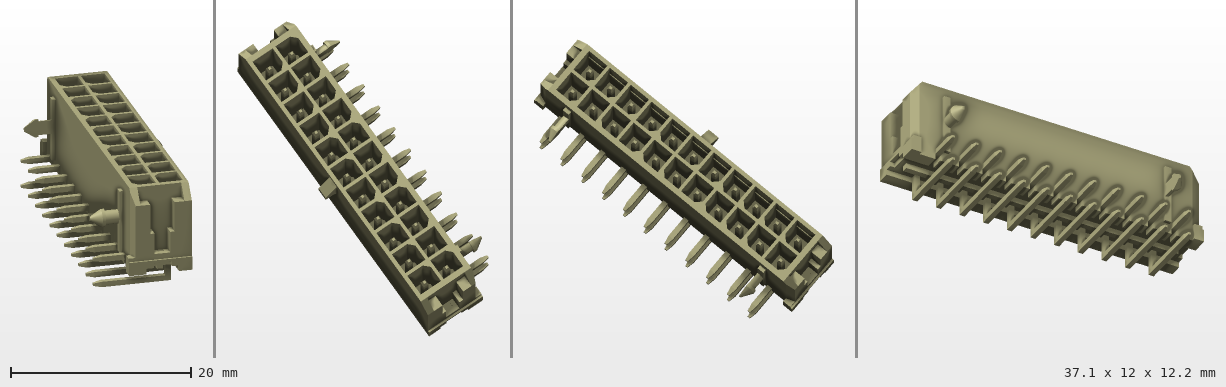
import cadquery as cq


columns = 11
pitch = 3.0
back_row_y = -1.88
front_row_y = back_row_y - pitch
pin_size = 0.64
pin_tip_size = 0.3
tail_end_y = -10.45
tail_tip_length = 0.9
front_row_tail_z = 0.98
back_row_tail_z = front_row_tail_z - pitch
mating_end_z = 8.2
mating_tip_length = 0.6

top_z = 9.9
front_y = -6.82
core_half_length = 16.98
end_half_length = 18.34
flange_half_length = 18.575
flange_top_z = 1.57
foot_inner_x = 17.32
foot_front_y = -7.27
foot_top_z = 2.0
corner_cut_y = 0.36
shoulder_z = 8.2

recess_middle_y = -3.38
recess_top_width = 5.06
recess_upper_width = 2.8
recess_lower_width = 1.8
recess_step_z = 4.7
recess_floor_z = 2.24
pit_depth = 0.1
pit_outer_x = 17.33
pit_tab_outer_x = 17.68
pit_tab_width = 0.8

channel_back_y = -1.54
channel_front_y = -5.28
channel_height = 0.67
rail_width = 0.7
rail_half_length = 17.3
end_pocket_width = 2.08
end_pocket_top_z = 1.25
end_pocket_depth = 0.6

cavity_size = 2.62
cavity_floor_z = 2.6
cavity_corner_cut = 0.65
lead_in_width = 0.1
lead_in_depth = 3.0
back_row_keys = ["R", "R", "R", "R", "L", "R", "R", "L", "L", "L", "L"]
front_row_keys = ["R", "-", "L", "R", "L", "L", "R", "L", "L", "L", "R"]

latch_width = 1.4
latch_reach = 1.5
latch_root = 0.3
latch_ramp_top_z = 9.24
latch_nose_top_z = 7.74
latch_nose_bottom_z = 6.97
latch_fillet = 0.65

rib_inner_x = 13.62
rib_width = 0.83
rib_bottom_z = 1.24
rib_top_z = 8.54
peg_z = 5.28
peg_radius = 0.82
peg_collar_radius = 1.05
peg_tip_radius = 0.25
peg_collar_start_y = -8.84
peg_collar_end_y = -9.22


def block(x0, x1, y0, y1, z0, z1):
    """Axis-aligned box between two opposite corners."""
    size = (abs(x1 - x0), abs(y1 - y0), abs(z1 - z0))
    middle = ((x0 + x1) / 2, (y0 + y1) / 2, (z0 + z1) / 2)
    return cq.Workplane("XY").box(*size).translate(middle)


def both_ends(solid):
    """The solid together with its mirror image at the opposite end."""
    return solid.union(solid.mirror("YZ"))


def make_body():
    """Block with sloped upper ends and angled front vertical edges."""
    plan = [
        (-end_half_length, 0),
        (end_half_length, 0),
        (end_half_length, front_y + corner_cut_y),
        (foot_inner_x, front_y),
        (-foot_inner_x, front_y),
        (-end_half_length, front_y + corner_cut_y),
    ]
    elevation = [
        (-end_half_length, 0),
        (end_half_length, 0),
        (end_half_length, shoulder_z),
        (core_half_length, top_z),
        (-core_half_length, top_z),
        (-end_half_length, shoulder_z),
    ]
    upright = cq.Workplane("XY").polyline(plan).close().extrude(top_z)
    profile = cq.Workplane("XZ").polyline(elevation).close().extrude(-front_y)
    return upright.intersect(profile)


def make_end_flange():
    """Low flange with a raised foot that reaches forward of the body."""
    flange = block(foot_inner_x, flange_half_length, 0, foot_front_y, 0, flange_top_z)
    foot = block(foot_inner_x, end_half_length, front_y + corner_cut_y, foot_front_y, 0, foot_top_z)
    return both_ends(flange.union(foot))


def make_end_recess():
    """Stepped recess in each end face, with a shallow pit in its floor."""
    def step(inner_x, outer_x, width, bottom_z, upper_z):
        y0 = recess_middle_y - width / 2
        return block(inner_x, outer_x, y0, y0 + width, bottom_z, upper_z)

    pit_z = recess_floor_z - pit_depth
    core = core_half_length
    recess = step(core, end_half_length, recess_top_width, shoulder_z, top_z)
    recess = recess.union(step(core, end_half_length, recess_upper_width, recess_step_z, top_z))
    recess = recess.union(step(core, end_half_length, recess_lower_width, recess_floor_z, top_z))
    recess = recess.union(step(core, pit_outer_x, recess_lower_width, pit_z, recess_floor_z))
    recess = recess.union(step(core, pit_tab_outer_x, pit_tab_width, pit_z, recess_floor_z))
    return both_ends(recess)


def make_underside_cut():
    """Lengthwise channel that leaves a central rail, plus a pocket at each end."""
    length = flange_half_length
    channel = block(-length, length, channel_front_y, channel_back_y, 0, channel_height)
    rail = block(
        -rail_half_length, rail_half_length,
        recess_middle_y - rail_width / 2, recess_middle_y + rail_width / 2,
        0, channel_height,
    )
    pocket = block(
        length - end_pocket_depth, length,
        recess_middle_y - end_pocket_width / 2, recess_middle_y + end_pocket_width / 2,
        0, end_pocket_top_z,
    )
    return channel.cut(rail).union(both_ends(pocket))


def make_cavity(x, y, keys):
    """Square contact cavity with its keyed front corners filled in."""
    half = cavity_size / 2
    cut = cavity_corner_cut
    left_corner = [(-half, -half)]
    if "L" in keys:
        left_corner = [(-half, -half + cut), (-half + cut, -half)]
    right_corner = [(half, -half)]
    if "R" in keys:
        right_corner = [(half - cut, -half), (half, -half + cut)]
    outline = left_corner + right_corner + [(half, half), (-half, half)]
    cavity = cq.Workplane("XY").polyline(outline).close().extrude(top_z - cavity_floor_z)
    return cavity.translate((x, y, cavity_floor_z))


def make_lead_in(x):
    """Shallow relief along the back of a back-row cavity mouth."""
    half = cavity_size / 2
    back = back_row_y + half
    return block(x - half, x + half, back, back + lead_in_width, top_z - lead_in_depth, top_z)


def make_tail_slot(x):
    """Slot through the lower front wall that lets a front-row tail out."""
    half = pin_size / 2
    return block(x - half, x + half, front_y, channel_front_y, 0, front_row_tail_z + half)


def make_tip(length):
    """Square pyramid frustum that ends a contact, rising along its own +Z."""
    return (
        cq.Workplane("XY")
        .rect(pin_size, pin_size)
        .workplane(offset=length)
        .rect(pin_tip_size, pin_tip_size)
        .loft(combine=True)
    )


def make_contact(x, y, tail_z):
    """Square L-shaped contact: upright mating pin and tail toward -Y."""
    half = pin_size / 2
    tip_base_z = mating_end_z - mating_tip_length
    tip_base_y = tail_end_y + tail_tip_length
    upright = block(x - half, x + half, y - half, y + half, tail_z - half, tip_base_z)
    tail = block(x - half, x + half, tip_base_y, y + half, tail_z - half, tail_z + half)
    mating_tip = make_tip(mating_tip_length).translate((x, y, tip_base_z))
    tail_tip = make_tip(tail_tip_length).rotate((0, 0, 0), (1, 0, 0), 90)
    tail_tip = tail_tip.translate((x, tip_base_y, tail_z))
    return upright.union(tail).union(mating_tip).union(tail_tip)


def make_latch():
    """Ramp with a hooked nose and a concave underside."""
    fillet_bend = latch_fillet * (1 - 0.5 ** 0.5)
    profile = (
        cq.Workplane("YZ")
        .moveTo(0, latch_ramp_top_z)
        .lineTo(latch_reach, latch_nose_top_z)
        .lineTo(latch_reach, latch_nose_bottom_z)
        .lineTo(latch_fillet, latch_nose_bottom_z)
        .threePointArc(
            (fillet_bend, latch_nose_bottom_z - fillet_bend),
            (0, latch_nose_bottom_z - latch_fillet),
        )
        .lineTo(-latch_root, latch_nose_bottom_z - latch_fillet)
        .lineTo(-latch_root, latch_ramp_top_z)
        .close()
    )
    return profile.extrude(latch_width / 2, both=True)


def make_ribs_and_pegs():
    """Upright rib and half-round barbed peg near each end of the front wall."""
    outer_x = rib_inner_x + rib_width
    rib = block(rib_inner_x, outer_x, front_y, foot_front_y, rib_bottom_z, rib_top_z)
    half_profile = [
        (0, front_y),
        (peg_radius, front_y),
        (peg_radius, peg_collar_start_y),
        (peg_collar_radius, peg_collar_start_y),
        (peg_collar_radius, peg_collar_end_y),
        (peg_tip_radius, tail_end_y),
        (0, tail_end_y),
    ]
    peg = cq.Workplane("XY").polyline(half_profile).close().revolve(180, (0, 0), (0, 1))
    peg = peg.rotate((0, 0, 0), (0, 1, 0), -90)
    peg = peg.translate((rib_inner_x, 0, peg_z))
    return both_ends(rib.union(peg))


column_xs = [(i - (columns - 1) / 2) * pitch for i in range(columns)]

result = make_body().union(make_end_flange())
result = result.cut(make_end_recess()).cut(make_underside_cut())
for x, back_keys, front_keys in zip(column_xs, back_row_keys, front_row_keys):
    result = result.cut(make_cavity(x, back_row_y, back_keys))
    result = result.cut(make_cavity(x, front_row_y, front_keys))
    result = result.cut(make_lead_in(x)).cut(make_tail_slot(x))
result = result.union(make_latch()).union(make_ribs_and_pegs())
for x in column_xs:
    result = result.union(make_contact(x, back_row_y, back_row_tail_z))
    result = result.union(make_contact(x, front_row_y, front_row_tail_z))